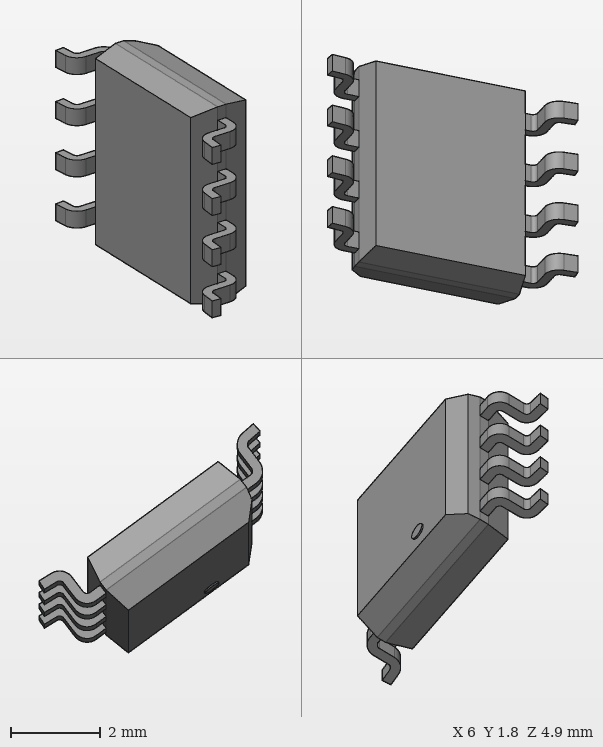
import cadquery as cq
import math

housing_width = 3.9
housing_height = 4.9
half_depth = 0.755
draft_angle = 12.0
bevel_size = 0.42

overall_span = 6.0
lead_thickness = 0.23
lead_width = 0.42
lead_pitch = 1.27
leads_per_side = 4
leg_outer_x = 2.57
inner_bend_radius = 0.115
foot_angle = 5.0
foot_lowest_y = -1.01

marker_diameter = 0.39
marker_thickness = 0.035
marker_x = -0.485
marker_z = -1.735

half_width = housing_width / 2
half_thickness = lead_thickness / 2


def drafted_half(direction):
    """Tapered block that grows from the band along +Y (1) or -Y (-1)."""
    base = cq.Plane(
        origin=(0, direction * half_thickness, 0),
        xDir=(1, 0, 0),
        normal=(0, direction, 0),
    )
    return (
        cq.Workplane(base)
        .rect(housing_width, housing_height)
        .extrude(half_depth - half_thickness, taper=draft_angle)
    )


def make_housing():
    band = cq.Workplane("XY").box(housing_width, lead_thickness, housing_height)
    bevel_wedge = (
        cq.Workplane("XY", origin=(-half_width, half_depth, 0))
        .polyline([(0, 0), (bevel_size, 0), (0, -bevel_size)])
        .close()
        .extrude(housing_height / 2, both=True)
    )
    return band.union(drafted_half(1)).union(drafted_half(-1)).cut(bevel_wedge)


def make_right_lead(z_center):
    """Lead on the +X side: shoulder, upright leg and sloping foot."""
    outer_bend_radius = inner_bend_radius + lead_thickness
    leg_inner_x = leg_outer_x - lead_thickness
    slope_sin = math.sin(math.radians(foot_angle))
    slope_cos = math.cos(math.radians(foot_angle))

    shoulder_center_x = leg_outer_x - outer_bend_radius
    shoulder_center_y = half_thickness - outer_bend_radius
    foot_center_x = leg_outer_x + inner_bend_radius
    foot_length = (overall_span / 2 - foot_center_x + inner_bend_radius * slope_sin) / slope_cos
    foot_center_y = foot_lowest_y + outer_bend_radius * slope_cos + foot_length * slope_sin

    def foot_point(radius, distance):
        """Point on the foot face of this bend radius, this far along from the bend."""
        return (
            foot_center_x - radius * slope_sin + distance * slope_cos,
            foot_center_y - radius * slope_cos - distance * slope_sin,
        )

    return (
        cq.Workplane("XY", origin=(0, 0, z_center - lead_width / 2))
        .moveTo(half_width, half_thickness)
        .lineTo(shoulder_center_x, half_thickness)
        .tangentArcPoint((leg_outer_x, shoulder_center_y), relative=False)
        .lineTo(leg_outer_x, foot_center_y)
        .tangentArcPoint(foot_point(inner_bend_radius, 0), relative=False)
        .lineTo(*foot_point(inner_bend_radius, foot_length))
        .lineTo(*foot_point(outer_bend_radius, foot_length))
        .lineTo(*foot_point(outer_bend_radius, 0))
        .tangentArcPoint((leg_inner_x, foot_center_y), relative=False)
        .lineTo(leg_inner_x, shoulder_center_y)
        .tangentArcPoint((shoulder_center_x, -half_thickness), relative=False)
        .lineTo(half_width, -half_thickness)
        .close()
        .extrude(lead_width)
    )


def make_marker():
    back_face = cq.Plane(origin=(marker_x, half_depth, marker_z), xDir=(1, 0, 0), normal=(0, 1, 0))
    return cq.Workplane(back_face).circle(marker_diameter / 2).extrude(marker_thickness)


housing = make_housing()
marker = make_marker()

leads = []
for index in range(leads_per_side):
    z_center = (index - (leads_per_side - 1) / 2) * lead_pitch
    right_lead = make_right_lead(z_center)
    left_lead = right_lead.mirror("YZ")
    leads += [right_lead.val(), left_lead.val()]

result = cq.Compound.makeCompound([housing.val(), *leads, marker.val()])